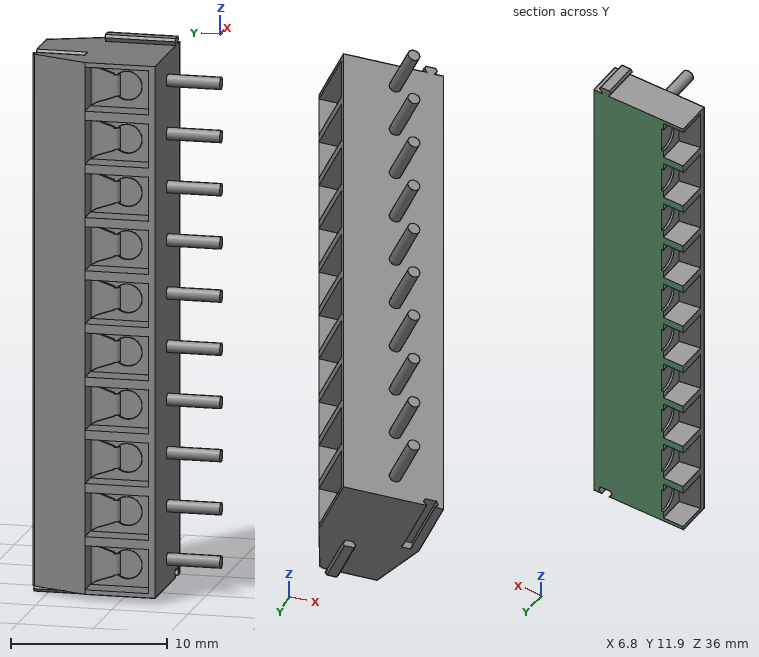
import cadquery as cq
import math


pole_count = 10
pitch = 3.5
housing_length = pole_count * pitch
housing_width = 6.8
housing_depth = 8.4
housing_middle_x = -0.1
entry_face_x = housing_middle_x - housing_width / 2
shoulder_y = 4.6
slope_inset = 1.45
back_bevel = 0.16

pin_diameter = 0.8
pin_length = 3.5

pocket_height = 2.9
pocket_depth = 1.5
pocket_front_y = 0.43
pocket_wall_draft = 0.22
floor_x = entry_face_x + pocket_depth

recess_radius = 0.95
recess_y = 2.17
recess_depth = 0.16
tongue_rise = 0.2
tongue_tip_radius = recess_depth + tongue_rise
tongue_tail_radius = 0.45
tongue_tip_y = 2.65
tongue_neck_y = tongue_tip_y + tongue_tip_radius
tongue_tail_y = shoulder_y - tongue_tail_radius
tongue_tail_half = 1.16
tongue_flare_half = 0.77
tongue_neck_half = 0.7

rail_height = 0.48
rail_waist_height = 0.29
rail_base_width = 0.5
rail_waist_width = 0.9
rail_tip_width = 0.66
slot_clearance = 0.04
front_rail_offset = 2.53
front_rail_x = housing_middle_x + front_rail_offset
front_rail_length = shoulder_y
back_rail_offset = -1.13
back_rail_x = housing_middle_x + back_rail_offset
back_rail_length = 3.25
back_slot_end_clearance = 0.08
back_slot_length = back_rail_length + back_slot_end_clearance
back_slot_depth = 0.54
back_slot_neck_depth = 0.18
back_slot_mouth_width = 0.87
back_slot_neck_width = 0.65


def make_housing():
    half = housing_width / 2
    back_half = half - slope_inset
    blank = (
        cq.Workplane("XY")
        .polyline([
            (-half, 0),
            (half, 0),
            (half, shoulder_y),
            (back_half, housing_depth),
            (-back_half, housing_depth),
            (-half, shoulder_y),
        ])
        .close()
        .extrude(housing_length / 2, both=True)
    )
    back_edge = blank.faces(">Y").edges("|Z").edges("<X")
    return back_edge.chamfer(back_bevel).translate((housing_middle_x, 0, 0))


def make_pin(z):
    return (
        cq.Workplane("XZ", origin=(0, 0, z))
        .circle(pin_diameter / 2)
        .extrude(pin_length)
    )


def make_pocket():
    """Wire entry with its front wall leaning inwards towards the floor."""
    return (
        cq.Workplane("XY")
        .polyline([
            (entry_face_x, pocket_front_y),
            (floor_x, pocket_front_y + pocket_wall_draft),
            (floor_x, shoulder_y),
            (entry_face_x, shoulder_y),
        ])
        .close()
        .extrude(pocket_height / 2, both=True)
    )


def extrude_tongue_outline(x, height):
    """Flared tongue outline, mirrored about Z = 0 and extruded from x towards +X."""
    upper_edge = [
        (tongue_tip_y, tongue_neck_half),
        (tongue_neck_y, tongue_neck_half),
        (tongue_neck_y, tongue_flare_half),
        (tongue_tail_y, tongue_tail_half),
        (shoulder_y, pocket_height / 2),
    ]
    lower_edge = [(y, -z) for y, z in reversed(upper_edge)]
    plane = cq.Workplane("YZ", origin=(x, 0, 0))
    return plane.polyline(upper_edge + lower_edge).close().extrude(height)


def make_tongue():
    """Flat tongue, slightly proud of the pocket floor and rounded down at both ends."""
    top_x = floor_x - tongue_rise
    bottom_x = floor_x + recess_depth
    tail_centre_height = tongue_tail_radius - (bottom_x - top_x)
    tail_end_y = tongue_tail_y + math.sqrt(tongue_tail_radius**2 - tail_centre_height**2)
    side_profile = (
        cq.Workplane("XY")
        .moveTo(bottom_x, tongue_tip_y)
        .radiusArc((top_x, tongue_neck_y), tongue_tip_radius)
        .lineTo(top_x, tongue_tail_y)
        .radiusArc((bottom_x, tail_end_y), tongue_tail_radius)
        .close()
        .extrude(pocket_height / 2, both=True)
    )
    return side_profile.intersect(extrude_tongue_outline(top_x, bottom_x - top_x))


def make_entry():
    """Everything removed for one pole: the pocket and its recess, less the tongue."""
    recess = (
        cq.Workplane("YZ", origin=(floor_x, 0, 0))
        .center(recess_y, 0)
        .circle(recess_radius)
        .extrude(recess_depth)
    )
    tongue_bed = extrude_tongue_outline(floor_x, recess_depth)
    return make_pocket().union(recess).union(tongue_bed).cut(make_tongue())


def make_rail(x, y_start, length, clearance=0.0):
    """Six-sided rail along Y standing on Z = 0; clearance enlarges it for a slot."""
    height = rail_height + clearance
    right_side = [
        (rail_base_width / 2 + clearance, 0),
        (rail_waist_width / 2 + clearance, rail_waist_height),
        (rail_tip_width / 2 + clearance, height),
    ]
    left_side = [(-across, up) for across, up in reversed(right_side)]
    return (
        cq.Workplane("XZ", origin=(x, y_start, 0))
        .polyline(right_side + left_side)
        .close()
        .extrude(-length)
    )


def make_back_slot():
    """Slot along Y below Z = 0, equally wide at mouth and floor, with a narrower neck."""
    mouth = back_slot_mouth_width / 2
    neck = back_slot_neck_width / 2
    right_side = [
        (mouth, 0),
        (neck, -back_slot_neck_depth),
        (mouth, -back_slot_depth),
    ]
    left_side = [(-across, up) for across, up in reversed(right_side)]
    return (
        cq.Workplane("XZ", origin=(back_rail_x, housing_depth, 0))
        .polyline(right_side + left_side)
        .close()
        .extrude(back_slot_length)
    )


def add_rails_and_slots(body):
    back_y = housing_depth - back_rail_length
    top = (0, 0, housing_length / 2)
    bottom = (0, 0, -housing_length / 2)

    top_rail = make_rail(front_rail_x, 0, front_rail_length).translate(top)
    bottom_rail = make_rail(back_rail_x, back_y, back_rail_length).mirror("XY").translate(bottom)
    bottom_slot = make_rail(front_rail_x, 0, front_rail_length, slot_clearance).translate(bottom)
    top_slot = make_back_slot().translate(top)
    return body.cut(bottom_slot).cut(top_slot).union(top_rail).union(bottom_rail)


result = add_rails_and_slots(make_housing())
entry = make_entry()
for pole in range(pole_count):
    pole_z = (pole - (pole_count - 1) / 2) * pitch
    result = result.cut(entry.translate((0, 0, pole_z))).union(make_pin(pole_z))